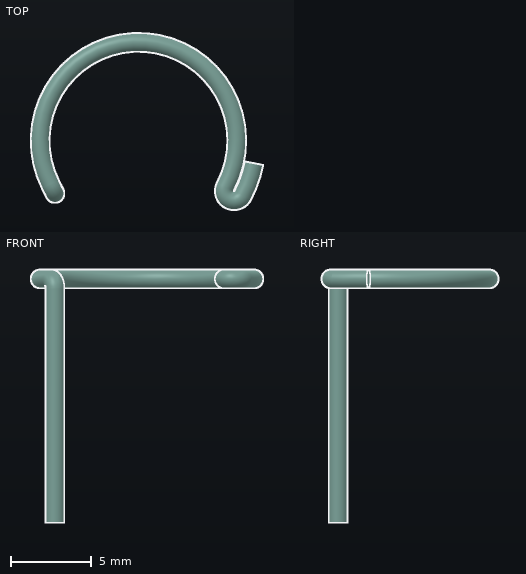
import cadquery as cq
import math

wire_diameter = 1.18
ring_inner_radius = 5.5
bend_radius = 0.6
post_length = 14.5
post_end_angle = 206.7
hook_end_angle = -27.8
hook_tip_angle = -11.0

wire_radius = wire_diameter / 2
ring_radius = ring_inner_radius + wire_radius
hook_radius = ring_radius + 2 * bend_radius
fold_radius = ring_radius + bend_radius
ring_sweep = post_end_angle - hook_end_angle
hook_sweep = hook_tip_angle - hook_end_angle


def point_at(radius, angle):
    """Point in the ring plane at a polar position about the ring axis."""
    return cq.Vector(
        radius * math.cos(math.radians(angle)),
        radius * math.sin(math.radians(angle)),
        0,
    )


def wire_section(center, normal):
    """Workplane carrying the round wire section, with its local X axis level."""
    level = cq.Vector(0, 0, 1).cross(normal)
    plane = cq.Plane(origin=center.toTuple(), xDir=level.toTuple(), normal=normal.toTuple())
    return cq.Workplane(plane).circle(wire_radius)


def arc_in_ring_plane(center_radius, start_angle, sweep, pivot):
    """Wire arc about a vertical axis through pivot, starting on the ring plane."""
    start = point_at(center_radius, start_angle)
    travel = point_at(1, start_angle + 90)
    section = wire_section(start, travel)
    axis_start = section.plane.toLocalCoords(pivot)
    axis_end = section.plane.toLocalCoords(pivot + cq.Vector(0, 0, 1))
    return section.revolve(sweep, axis_start.toTuple(), axis_end.toTuple())


def make_ring():
    return arc_in_ring_plane(ring_radius, hook_end_angle, ring_sweep, cq.Vector(0, 0, 0))


def make_fold():
    """Half-turn bend that leads from the ring outward into the hook."""
    pivot = point_at(fold_radius, hook_end_angle)
    half_turn = 180
    return arc_in_ring_plane(ring_radius, hook_end_angle, -half_turn, pivot)


def make_hook():
    return arc_in_ring_plane(hook_radius, hook_end_angle, hook_sweep, cq.Vector(0, 0, 0))


def make_post():
    """Quarter-turn bend down from the ring end, followed by the straight post."""
    start = point_at(ring_radius, post_end_angle)
    travel = point_at(1, post_end_angle + 90)
    down = cq.Vector(0, 0, -1)
    bend_end = start + (travel + down) * bend_radius
    bend_middle = start + travel * (bend_radius * math.sin(math.pi / 4))
    bend_middle += down * (bend_radius * (1 - math.cos(math.pi / 4)))
    path = cq.Workplane(obj=cq.Edge.makeThreePointArc(start, bend_middle, bend_end))
    bend = wire_section(start, travel).sweep(path)
    straight = (
        cq.Workplane("XY", origin=bend_end.toTuple())
        .circle(wire_radius)
        .extrude(-post_length)
    )
    return bend.union(straight)


result = make_ring().union(make_fold()).union(make_hook()).union(make_post())